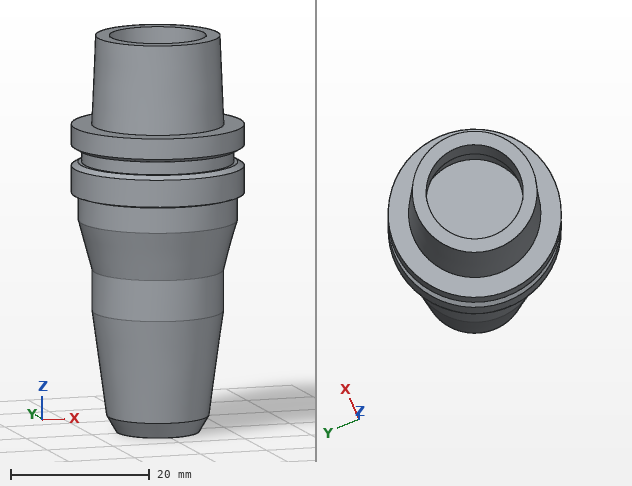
import cadquery as cq
import math

overall_length = 58.0
shank_length = 13.0
nose_height = 2.4
neck_bottom = 17.7
neck_top = 23.7
collar_length = 4.0

flange_radius = 12.5
upper_rim_thickness = 3.0
groove_mouth_width = 3.05
lower_rim_thickness = 3.95
groove_flank_angle = 30.0
groove_edge_radius = 11.55
groove_radius = 11.0

shank_tip_radius = 9.0
shank_root_radius = 9.55
collar_radius = 11.5
collar_bevel = 0.3
neck_radius = 9.5
nose_radius = 7.4
tip_radius = 6.0

bore_radius = 7.0
bore_mouth_depth = 5.6
bore_relief_radius = 8.0
bore_depth = shank_length


def revolve_outline(outline):
    """Revolve a half outline of (radius, height) points about the Z axis."""
    return cq.Workplane("XZ").polyline(outline).close().revolve(360, (0, 0), (0, 1))


def make_body():
    """Make the solid holder, without its bore."""
    flange_top = overall_length - shank_length
    upper_rim_bottom = flange_top - upper_rim_thickness
    lower_rim_top = upper_rim_bottom - groove_mouth_width
    flange_bottom = lower_rim_top - lower_rim_thickness
    collar_bottom = flange_bottom - collar_length
    flank_height = (flange_radius - groove_edge_radius) * math.tan(math.radians(groove_flank_angle))
    outline = [
        (0, 0),
        (tip_radius, 0),
        (nose_radius, nose_height),
        (neck_radius, neck_bottom),
        (neck_radius, neck_top),
        (collar_radius, collar_bottom),
        (collar_radius, flange_bottom - collar_bevel),
        (collar_radius + collar_bevel, flange_bottom),
        (flange_radius, flange_bottom),
        (flange_radius, lower_rim_top),
        (groove_edge_radius, lower_rim_top + flank_height),
        (groove_radius, lower_rim_top + flank_height),
        (groove_radius, upper_rim_bottom - flank_height),
        (groove_edge_radius, upper_rim_bottom - flank_height),
        (flange_radius, upper_rim_bottom),
        (flange_radius, flange_top),
        (shank_root_radius, flange_top),
        (shank_tip_radius, overall_length),
        (0, overall_length),
    ]
    return revolve_outline(outline)


def make_bore():
    """Make the stepped bore: a narrow mouth above a wider relief."""
    floor = overall_length - bore_depth
    shoulder = overall_length - bore_mouth_depth
    outline = [
        (0, floor),
        (bore_relief_radius, floor),
        (bore_relief_radius, shoulder),
        (bore_radius, shoulder),
        (bore_radius, overall_length),
        (0, overall_length),
    ]
    return revolve_outline(outline)


result = make_body().cut(make_bore())